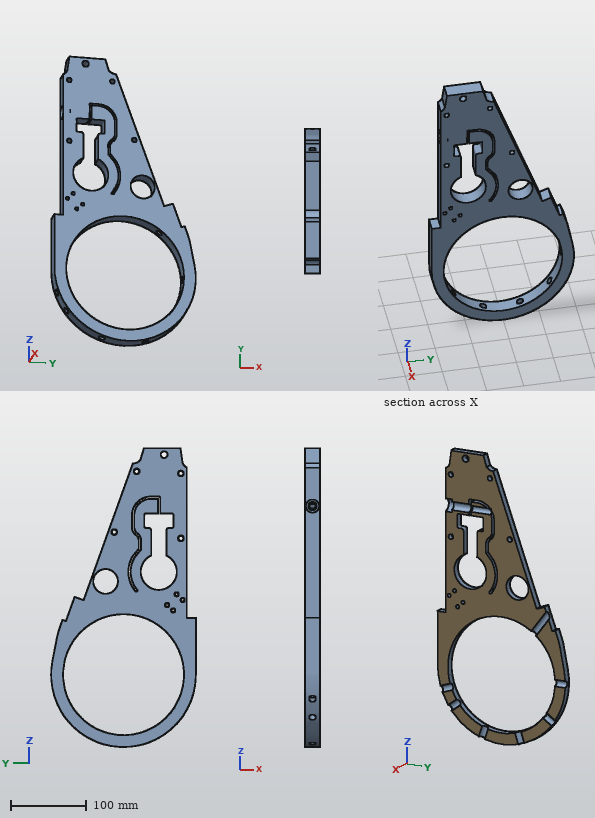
import cadquery as cq
import math

thickness = 20.0
overall_width = 192.0
ring_outer_radius = overall_width / 2
bore_radius = 80.0
overall_height = 396.0
top_z = overall_height - ring_outer_radius

back_y = -84.0
shoulder_z = 75.2

head_left_y = -27.0
head_right_y = -75.5
right_relief_start = (-78.5, 280.2)
right_relief_middle = (-80.7, 276.5)
right_relief_end = (back_y, 274.5)
left_relief_start = (-22.0, 284.2)
left_relief_middle = (-18.0, 281.0)
arm_corner = (-12.3, 280.0)

arm_slant = math.radians(19.8)
arm_length = 192.5
large_notch_depth = 12.5
seat_length = 34.0
small_notch_depth = 4.7

flank_slant = math.radians(11)
flank_length = 33.2
short_edge_length = 10.3

side_hole_centre = (23.7, 123.5)
side_hole_radius = 16.2
keyhole_centre = (-46.7, 136.0)
keyhole_radius = 23.7
neck_width = 19.8
neck_corner_radius = 3.5
window_left_y = -27.7
window_right_y = -66.0
window_bottom_z = 194.5
window_top_z = 213.5
window_corner_radius = 2.0

channel_width = 2.8
channel_riser_y = -47.0
channel_top_z = 234.5
channel_bend_radius = 23.5
channel_bend_centre = (-36.0, channel_top_z - channel_bend_radius)
channel_straight_end_z = 195.0
channel_waist_y = -21.8
channel_waist_top_z = 177.5
channel_waist_bottom_z = 166.2
channel_sweep_radius = 38.8
channel_sweep_start = math.radians(31)
channel_sweep_end = math.radians(-40)

countersink_depth = 0.8
head_hole_centre = (-54.0, 291.5)
head_hole_radius = 4.5
cover_hole_radius = 3.0
cover_hole_centres = [(-17.5, 269.0), (-76.0, 266.5), (12.3, 189.0), (-76.0, 180.5)]
small_hole_radius = 2.18
small_hole_centres = [(-70.5, 106.5), (-78.5, 99.0), (-57.8, 92.2), (-65.7, 85.0)]

screw_z = 223.2
counterbore_radius = 8.7
counterbore_depth = 9.5
clearance_radius = 5.5
tapped_radius = 4.0

radial_hole_radius = 4.5
radial_hole_reach = 138.5
radial_hole_angles = [53, 0, -36, -72, -108, -144, -160.5]


def step(start, distance, angle):
    """Point at a distance from start, with the angle measured from +Y towards +Z."""
    return (start[0] + distance * math.cos(angle), start[1] + distance * math.sin(angle))


def prism(sketch):
    return sketch.extrude(thickness / 2, both=True)


def plate_holes(centres, radius):
    return prism(cq.Workplane("YZ").pushPoints(centres).circle(radius))


def countersunk_holes(centres, radius):
    face = cq.Workplane("YZ", origin=(-thickness / 2, 0, 0)).pushPoints(centres)
    countersinks = face.circle(radius + countersink_depth).extrude(countersink_depth, taper=45)
    return plate_holes(centres, radius).union(countersinks)


def plate_body():
    downhill = arm_slant - math.pi / 2
    outward = arm_slant
    arm_foot = step(arm_corner, arm_length, downhill)
    seat_top = step(arm_foot, large_notch_depth, outward)
    seat_bottom = step(seat_top, seat_length, downhill)
    flank_corner = step(seat_bottom, small_notch_depth, outward)
    bend_top = step(flank_corner, short_edge_length, downhill)
    flank_end = step((0, 0), ring_outer_radius, flank_slant)
    flank_start = step(flank_end, flank_length, flank_slant + math.pi / 2)
    outline = (
        cq.Workplane("YZ")
        .moveTo(-ring_outer_radius, 0)
        .lineTo(-ring_outer_radius, shoulder_z)
        .lineTo(back_y, shoulder_z)
        .lineTo(*right_relief_end)
        .threePointArc(right_relief_middle, right_relief_start)
        .lineTo(head_right_y, top_z)
        .lineTo(head_left_y, top_z)
        .lineTo(*left_relief_start)
        .threePointArc(left_relief_middle, arm_corner)
        .lineTo(*arm_foot)
        .lineTo(*seat_top)
        .lineTo(*seat_bottom)
        .lineTo(*flank_corner)
        .lineTo(*bend_top)
        .tangentArcPoint(flank_start, relative=False)
        .lineTo(*flank_end)
        .threePointArc((0, -ring_outer_radius), (-ring_outer_radius, 0))
        .close()
    )
    return prism(outline)


def keyhole():
    """Round hole joined to a rectangular window by a straight neck, with rounded corners."""
    window_width = window_left_y - window_right_y
    window_height = window_top_z - window_bottom_z
    window_centre = ((window_left_y + window_right_y) / 2, (window_top_z + window_bottom_z) / 2)
    window = prism(cq.Workplane("YZ").center(*window_centre).rect(window_width, window_height))
    window = window.edges("|X").fillet(window_corner_radius)

    hole_y, hole_z = keyhole_centre
    neck_left_y = hole_y + neck_width / 2
    neck_right_y = hole_y - neck_width / 2
    neck = prism(
        cq.Workplane("YZ")
        .moveTo(neck_left_y, hole_z)
        .lineTo(neck_left_y, window_bottom_z - neck_corner_radius)
        .radiusArc((neck_left_y + neck_corner_radius, window_bottom_z), neck_corner_radius)
        .lineTo(neck_right_y - neck_corner_radius, window_bottom_z)
        .radiusArc((neck_right_y, window_bottom_z - neck_corner_radius), neck_corner_radius)
        .lineTo(neck_right_y, hole_z)
        .close()
    )
    return window.union(neck).union(plate_holes([keyhole_centre], keyhole_radius))


def channel():
    bend_start = (channel_bend_centre[0], channel_top_z)
    bend_middle = step(channel_bend_centre, channel_bend_radius, math.pi / 4)
    bend_end = step(channel_bend_centre, channel_bend_radius, 0)
    jog_middle = ((bend_end[0] + channel_waist_y) / 2, (channel_straight_end_z + channel_waist_top_z) / 2)
    sweep_middle_angle = (channel_sweep_start + channel_sweep_end) / 2
    centreline = (
        cq.Workplane("YZ")
        .moveTo(channel_riser_y, (window_top_z + window_bottom_z) / 2)
        .lineTo(channel_riser_y, channel_top_z)
        .lineTo(*bend_start)
        .threePointArc(bend_middle, bend_end)
        .lineTo(bend_end[0], channel_straight_end_z)
        .tangentArcPoint(jog_middle, relative=False)
        .tangentArcPoint((channel_waist_y, channel_waist_top_z), relative=False)
        .lineTo(channel_waist_y, channel_waist_bottom_z)
        .lineTo(*step(keyhole_centre, channel_sweep_radius, channel_sweep_start))
        .threePointArc(
            step(keyhole_centre, channel_sweep_radius, sweep_middle_angle),
            step(keyhole_centre, channel_sweep_radius, channel_sweep_end),
        )
    )
    return prism(centreline.offset2D(channel_width / 2))


def clamp_screw_hole():
    """Counterbore and clearance up to the channel riser, then a tapped hole to the channel bend."""
    def bore(radius, end_y):
        face = cq.Workplane("XZ", origin=(0, back_y, screw_z))
        return face.circle(radius).extrude(back_y - end_y)

    bend_y = channel_bend_centre[0] + math.sqrt(
        channel_bend_radius**2 - (screw_z - channel_bend_centre[1]) ** 2)
    return (
        bore(counterbore_radius, back_y + counterbore_depth)
        .union(bore(clearance_radius, channel_riser_y))
        .union(bore(tapped_radius, bend_y))
    )


def radial_hole(angle):
    hole = cq.Workplane("XZ").circle(radial_hole_radius).extrude(-radial_hole_reach)
    return hole.rotate((0, 0, 0), (1, 0, 0), angle)


result = (
    plate_body()
    .cut(plate_holes([(0, 0)], bore_radius))
    .cut(plate_holes([side_hole_centre], side_hole_radius))
    .cut(keyhole())
    .cut(channel())
    .cut(plate_holes([head_hole_centre], head_hole_radius))
    .cut(countersunk_holes(cover_hole_centres, cover_hole_radius))
    .cut(countersunk_holes(small_hole_centres, small_hole_radius))
    .cut(clamp_screw_hole())
)
for hole_angle in radial_hole_angles:
    result = result.cut(radial_hole(hole_angle))